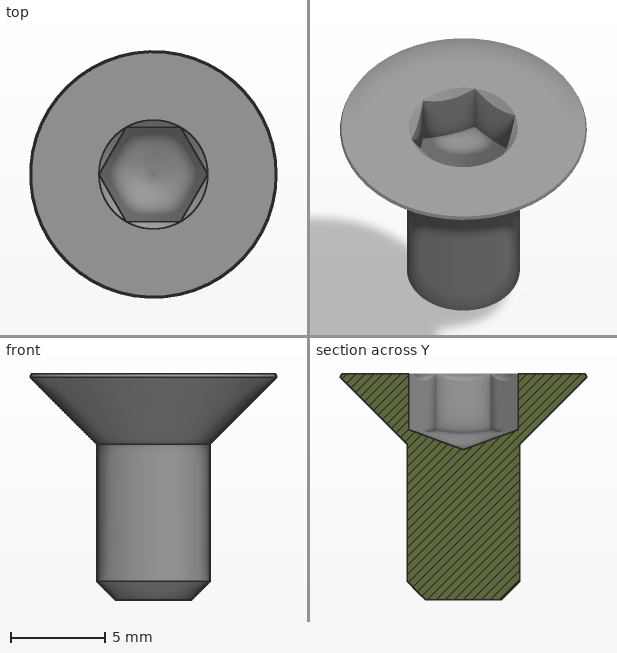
import cadquery as cq
import math

length = 12.0
shank_diameter = 6.0
head_diameter = 13.09
top_face_diameter = 12.94
rim_height = 0.18
tip_chamfer = 1.0

hexagon_sides = 6
key_width = 5.0
socket_depth = 2.96
lead_in_half_angle = 45.0
floor_half_angle = 70.0

shank_radius = shank_diameter / 2
head_radius = head_diameter / 2
corner_radius = key_width / 2 / math.cos(math.pi / hexagon_sides)

head_edge_z = length - rim_height
head_base_z = head_edge_z - (head_radius - shank_radius)


def revolve_profile(points):
    """Revolve a closed (radius, z) outline about the Z axis."""
    return cq.Workplane("XZ").polyline(points).close().revolve(360, (0, 0), (0, 1))


def cone_point_z(rim_z, half_angle):
    """Height of the point of a cone that is as wide as the hexagon corners at rim_z."""
    return rim_z - corner_radius / math.tan(math.radians(half_angle))


def make_body():
    """Countersunk head, shank and chamfered tip."""
    return revolve_profile([
        (0, 0),
        (shank_radius - tip_chamfer, 0),
        (shank_radius, tip_chamfer),
        (shank_radius, head_base_z),
        (head_radius, head_edge_z),
        (top_face_diameter / 2, length),
        (0, length),
    ])


def make_hexagon_recess():
    """Hexagonal recess with corners on the X axis and a conical floor."""
    floor_rim_z = length - socket_depth
    floor_point_z = cone_point_z(floor_rim_z, floor_half_angle)
    hexagon = (
        cq.Workplane("XY", origin=(0, 0, floor_point_z))
        .polygon(hexagon_sides, 2 * corner_radius)
        .extrude(length - floor_point_z)
    )
    pointed_bore = revolve_profile([
        (0, floor_point_z),
        (corner_radius, floor_rim_z),
        (corner_radius, length),
        (0, length),
    ])
    return hexagon.intersect(pointed_bore)


def make_lead_in():
    """Conical countersink that bevels the flats at the mouth of the socket."""
    return revolve_profile([
        (0, cone_point_z(length, lead_in_half_angle)),
        (corner_radius, length),
        (0, length),
    ])


result = make_body().cut(make_hexagon_recess()).cut(make_lead_in())